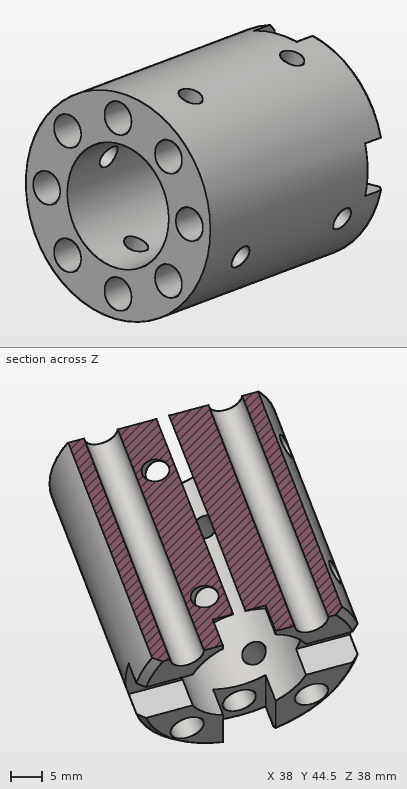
import cadquery as cq

length = 44.45
outer_diameter = 37.95
bore_diameter = 20.85

slot_width = 8.75
slot_depth = 5.15
end_chamfer = 1.2

axial_hole_count = 8
axial_hole_diameter = 5.55
axial_hole_circle = 29.35

radial_hole_count = 4
radial_hole_diameter = 4.05
radial_hole_positions = (9.35, 34.65)
radial_hole_start_angle = 180.0 / axial_hole_count


def cylinder_along_y(diameter):
    """Full-length solid cylinder centred on the part axis."""
    return cq.Workplane("XZ").circle(diameter / 2).extrude(-length)


def make_sleeve():
    """Bored body with a chamfered outer edge at the slotted end."""
    body = cylinder_along_y(outer_diameter).faces(">Y").chamfer(end_chamfer)
    return body.cut(cylinder_along_y(bore_diameter))


def make_slots():
    """Two crossed slots through the end of the sleeve."""
    middle = length - slot_depth / 2
    slot_x = cq.Workplane().box(outer_diameter, slot_depth, slot_width)
    slot_z = cq.Workplane().box(slot_width, slot_depth, outer_diameter)
    return slot_x.union(slot_z).translate((0, middle, 0))


def make_axial_holes():
    """Ring of through holes parallel to the part axis."""
    return (
        cq.Workplane("XZ")
        .polarArray(axial_hole_circle / 2, 0, 360, axial_hole_count)
        .circle(axial_hole_diameter / 2)
        .extrude(-length)
    )


def make_radial_hole(position, angle):
    """Hole from the axis outwards; the angle is measured from +Z towards +X."""
    hole = cq.Workplane().center(0, position).circle(radial_hole_diameter / 2).extrude(outer_diameter / 2)
    return hole.rotate((0, 0, 0), (0, 1, 0), angle)


result = make_sleeve().cut(make_slots()).cut(make_axial_holes())
for position in radial_hole_positions:
    for index in range(radial_hole_count):
        angle = radial_hole_start_angle + index * 360.0 / radial_hole_count
        result = result.cut(make_radial_hole(position, angle))